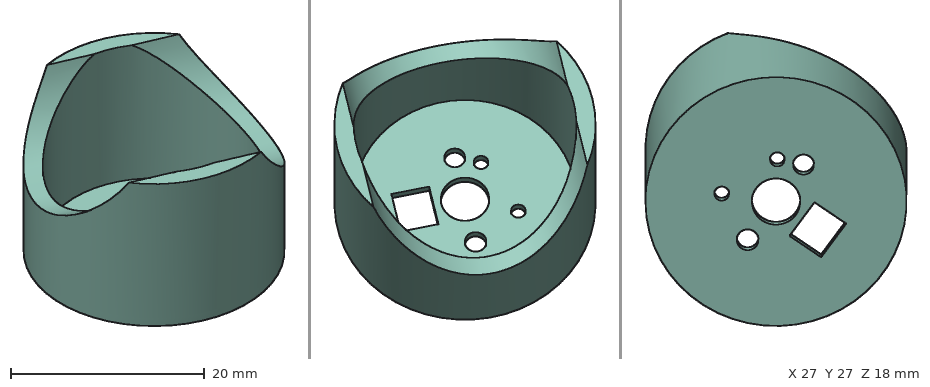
import cadquery as cq

outer_diameter = 27.0
bore_diameter = 23.0
height = 18.0
floor_thickness = 1.0

saddle_radius = 12.0
saddle_bottom = 10.0

center_hole_diameter = 5.0
pin_pitch = 2.55
pin_hole_diameter = 1.5
pin_positions = [(pin_pitch, 1.5 * pin_pitch), (2 * pin_pitch, -pin_pitch)]
post_offset = 5.08
rear_post_y = 4.91
rear_post_diameter = 2.15
front_post_diameter = 2.25
window_length = 4.0
window_width = 4.45
window_center_x = -5.3


def floor_hole(x, y, diameter):
    """Cylinder that pierces the floor at (x, y)."""
    return cq.Workplane("XY").center(x, y).circle(diameter / 2).extrude(floor_thickness)


floor = cq.Workplane("XY").circle(outer_diameter / 2).extrude(floor_thickness)
wall = (
    cq.Workplane("XY", origin=(0, 0, floor_thickness))
    .circle(outer_diameter / 2)
    .circle(bore_diameter / 2)
    .extrude(height - floor_thickness)
)

saddle = (
    cq.Workplane("XZ")
    .center(0, saddle_bottom + saddle_radius)
    .circle(saddle_radius)
    .extrude(outer_diameter / 2, both=True)
)

floor = floor.cut(floor_hole(0, 0, center_hole_diameter))
floor = floor.cut(floor_hole(0, rear_post_y, rear_post_diameter))
floor = floor.cut(floor_hole(0, -post_offset, front_post_diameter))
for x, y in pin_positions:
    floor = floor.cut(floor_hole(x, y, pin_hole_diameter))
window = (
    cq.Workplane("XY")
    .center(window_center_x, 0)
    .rect(window_length, window_width)
    .extrude(floor_thickness)
)
floor = floor.cut(window)

result = floor.union(wall.cut(saddle), clean=False)